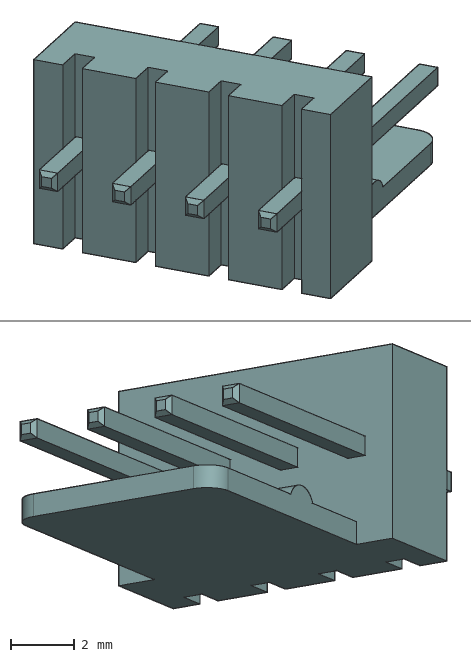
import cadquery as cq

pin_count = 4
pitch = 2.54
pin_size = 0.64
pin_length = 12.7
pin_tip_chamfer = 0.15
pin_front_reach = 2.0

block_width = 10.32
block_depth = 3.2
block_height = 6.4
slot_width = 0.68
slot_depth = 0.95

tongue_width = (pin_count - 1) * pitch
tongue_thickness = 0.75
tongue_corner_radius = 0.8
tongue_end_y = 11.5

ridge_from_tongue_end = 5.1
ridge_width = 1.28
ridge_height = 0.435

pin_z = block_height / 2
pin_xs = [(i - (pin_count - 1) / 2) * pitch for i in range(pin_count)]
tongue_length = tongue_end_y - block_depth
ridge_y = tongue_end_y - ridge_from_tongue_end
ridge_top_z = tongue_thickness + ridge_height


def box_from(width, depth, height, front_y, center_x=0.0):
    """Box standing on Z = 0, centred on center_x, running back from front_y."""
    return (
        cq.Workplane("XY")
        .box(width, depth, height, centered=(True, False, False))
        .translate((center_x, front_y, 0))
    )


def make_pin_blank(center_x):
    """Square bar along Y, without its tip chamfers."""
    return (
        cq.Workplane("XY")
        .box(pin_size, pin_length, pin_size, centered=(True, False, True))
        .translate((center_x, -pin_front_reach, pin_z))
    )


def make_pin(center_x):
    """Square pin with both ends chamfered on all four sides."""
    return make_pin_blank(center_x).faces("<Y or >Y").chamfer(pin_tip_chamfer)


def make_tongue():
    """Flat tongue with two rounded rear corners and the latch ridge on top."""
    plate = box_from(tongue_width, tongue_length, tongue_thickness, block_depth)
    plate = plate.edges("|Z and >Y").fillet(tongue_corner_radius)
    ridge = (
        cq.Workplane("YZ")
        .moveTo(ridge_y - ridge_width / 2, tongue_thickness)
        .threePointArc((ridge_y, ridge_top_z), (ridge_y + ridge_width / 2, tongue_thickness))
        .close()
        .extrude(tongue_width / 2, both=True)
    )
    return plate.union(ridge)


def make_housing():
    """Block and tongue in one piece, with a front slot and a through hole for each pin."""
    housing = box_from(block_width, block_depth, block_height, 0).union(make_tongue())
    for x in pin_xs:
        housing = housing.cut(box_from(slot_width, slot_depth, block_height, 0, x))
        housing = housing.cut(make_pin_blank(x))
    return housing


housing = make_housing()
pins = [make_pin(x) for x in pin_xs]

result = cq.Compound.makeCompound([housing.solids().val(), *[pin.solids().val() for pin in pins]])